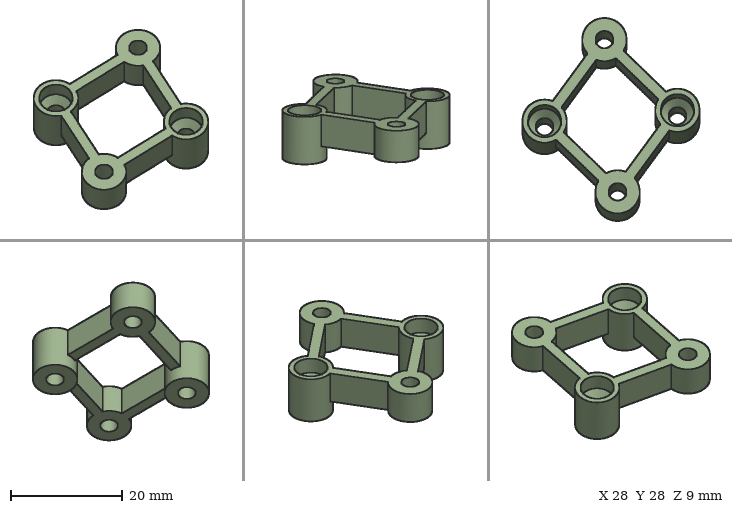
import cadquery as cq
import math

side = 28.0
total_height = 9.0
foot_height = 3.0
frame_height = total_height - foot_height

boss_diameter = 8.0
plain_offset = (side - boss_diameter) / 2
footed_offset = 8.48
plain_centers = [(-plain_offset, plain_offset), (plain_offset, -plain_offset)]
footed_centers = [(footed_offset, footed_offset), (-footed_offset, -footed_offset)]

web_thickness = 2.0
hole_diameter = 3.2
recess_diameter = 6.0
recess_depth = 3.0
seat_angle = 90.0
seat_depth = (recess_diameter - hole_diameter) / 2 / math.tan(math.radians(seat_angle / 2))


def cylinders(centers, diameter, bottom, top):
    """Upright cylinders between two heights."""
    return (
        cq.Workplane("XY", origin=(0, 0, bottom))
        .pushPoints(centers)
        .circle(diameter / 2)
        .extrude(top - bottom)
    )


def web(start, end):
    """Straight wall joining two boss centers over the frame height."""
    run = end[0] - start[0]
    rise = end[1] - start[1]
    return (
        cq.Workplane("XY")
        .rect(math.hypot(run, rise), web_thickness)
        .extrude(frame_height)
        .rotate((0, 0, 0), (0, 0, 1), math.degrees(math.atan2(rise, run)))
        .translate(((start[0] + end[0]) / 2, (start[1] + end[1]) / 2, foot_height))
    )


def screw_recess(center):
    """Cylindrical head recess with a conical seat narrowing to the hole."""
    recess_floor = total_height - recess_depth
    profile = [
        (0, total_height),
        (recess_diameter / 2, total_height),
        (recess_diameter / 2, recess_floor),
        (hole_diameter / 2, recess_floor - seat_depth),
        (0, recess_floor - seat_depth),
    ]
    return (
        cq.Workplane("XZ")
        .polyline(profile)
        .close()
        .revolve(360, (0, 0, 0), (0, 1, 0))
        .translate((center[0], center[1], 0))
    )


result = cylinders(plain_centers, boss_diameter, foot_height, total_height)
result = result.union(cylinders(footed_centers, boss_diameter, 0, total_height))

for plain_center in plain_centers:
    for footed_center in footed_centers:
        result = result.union(web(plain_center, footed_center))

result = result.cut(cylinders(plain_centers + footed_centers, hole_diameter, 0, total_height))
for footed_center in footed_centers:
    result = result.cut(screw_recess(footed_center))